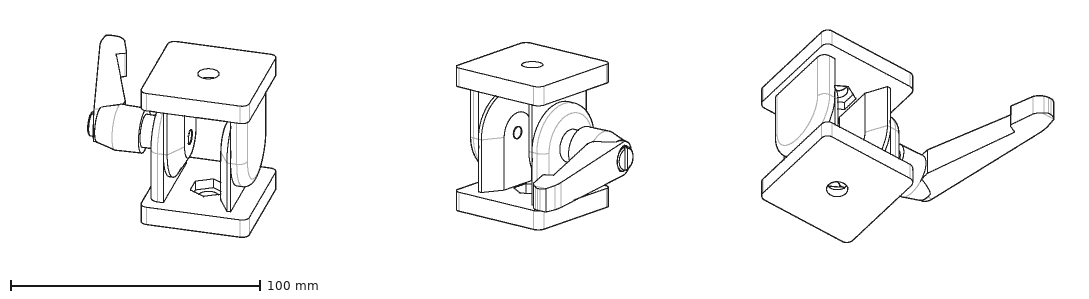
import cadquery as cq
import math


PLATE_SIDE = 45.0
PLATE_THICKNESS = 8.0
PLATE_CORNER_RADIUS = 3.0
OVERALL_HEIGHT = 60.0
PLATE_HOLE_DIAMETER = 8.5
HEX_ACROSS_FLATS = 13.0
HEX_POCKET_DEPTH = 4.0

EAR_RADIUS = 17.0
EAR_JOINT = 14.0
OUTER_EAR_FACE = 20.0
OUTER_EAR_ROUNDING = 3.5
INNER_EAR_FACE = 7.5
INNER_EAR_RIM = 1.6
INNER_EAR_BEVEL = 8.4

PIVOT_DIAMETER = 5.0
STUD_DIAMETER = 6.0
END_RECESS = 0.35

HUB_INNER_END = -26.6
HUB_SHOULDER = -37.5
HUB_CONE_END = -45.4
HUB_INNER_RADIUS = 9.1
HUB_SHOULDER_RADIUS = 9.4
HUB_CONE_RADIUS = 7.2

ARM_ROOT_RADIUS = 7.0
ARM_OUTER_X = -47.7
ARM_OUTER_SLOPE = 0.236
ARM_BEND_Y = 54.3
ARM_TIP_Y = 65.0
ARM_TIP_X = -61.1
ARM_TIP_HALF_HEIGHT = 4.9
ARM_TIP_BEVEL_LENGTH = 1.05
ARM_TIP_BEVEL_HEIGHT = 0.35
ARM_NOSE_ROUNDING = 0.9

ARM_BEND_MIDDLE = (-60.9, 56.6)
ARM_BEND_END = (ARM_TIP_X, 58.9)
ARM_TIP_CORNER = (-60.6, 63.9)
ARM_TIP_TOP = (-58.4, ARM_TIP_Y)
ARM_TIP_SHOULDER = (-55.4, 64.3)
ARM_SHOULDER_MIDDLE = (-53.5, 63.1)
ARM_SHOULDER_END = (-52.05, 61.3)
ARM_NOSE = (-48.3, 50.9)
ARM_NOTCH = (-52.1, 49.0)
ARM_ROOT = (HUB_SHOULDER, 10.3)

HEAD_FACE = -49.1
HEAD_DIAMETER = 10.0
HEAD_RECESS_DIAMETER = 10.6
HEAD_CHAMFER = 0.6
SLOT_WIDTH = 1.4
SLOT_DEPTH = 1.3
SHANK_DIAMETER = 7.0
COLLAR_DIAMETER = 13.5

PLATE_INNER_FACE = OVERALL_HEIGHT / 2 - PLATE_THICKNESS
STUD_END = -INNER_EAR_FACE - END_RECESS


def x_cylinder(diameter, x_start, x_end):
    """Cylinder on the pivot axis from x_start to x_end."""
    return cq.Workplane("YZ").workplane(offset=x_start).circle(diameter / 2).extrude(x_end - x_start)


def ear(x_joint, length):
    """Round-topped ear standing on the lower plate, extruded from its joint face."""
    return (
        cq.Workplane("YZ")
        .workplane(offset=x_joint)
        .moveTo(-EAR_RADIUS, -PLATE_INNER_FACE)
        .lineTo(-EAR_RADIUS, 0)
        .threePointArc((0, EAR_RADIUS), (EAR_RADIUS, 0))
        .lineTo(EAR_RADIUS, -PLATE_INNER_FACE)
        .close()
        .extrude(length)
    )


def round_top_edges(face):
    """The side and top edges of an ear face, without the edge that stands on the plate."""
    return face.edges("not(<Z)")


def plate():
    """Lower square plate with a centre hole and a hexagonal pocket in its inner face."""
    corner_diameter = HEX_ACROSS_FLATS / math.cos(math.pi / 6)
    body = (
        cq.Workplane("XY")
        .workplane(offset=-OVERALL_HEIGHT / 2)
        .rect(PLATE_SIDE, PLATE_SIDE)
        .extrude(PLATE_THICKNESS)
        .edges("|Z")
        .fillet(PLATE_CORNER_RADIUS)
        .faces(">Z")
        .workplane()
        .hole(PLATE_HOLE_DIAMETER)
    )
    pocket = (
        cq.Workplane("XY")
        .workplane(offset=-PLATE_INNER_FACE)
        .transformed(rotate=(0, 0, 30))
        .polygon(6, corner_diameter)
        .extrude(-HEX_POCKET_DEPTH)
    )
    return body.cut(pocket)


def blank_bracket():
    """Bracket with its plate below, outer ear at -X and inner ear at +X, without joint holes."""
    outer_ear = round_top_edges(ear(-EAR_JOINT, EAR_JOINT - OUTER_EAR_FACE).faces("<X"))
    outer_ear = outer_ear.fillet(OUTER_EAR_ROUNDING)
    inner_ear = round_top_edges(ear(EAR_JOINT, INNER_EAR_FACE - EAR_JOINT).faces("<X"))
    inner_ear = inner_ear.chamfer(EAR_JOINT - INNER_EAR_RIM - INNER_EAR_FACE, INNER_EAR_BEVEL)
    return plate().union(outer_ear).union(inner_ear)


def lower_bracket():
    """The bolt passes the outer ear, and the pivot turns in the inner ear."""
    bolt_hole = x_cylinder(STUD_DIAMETER, -OUTER_EAR_FACE, -EAR_JOINT)
    pivot_hole = x_cylinder(PIVOT_DIAMETER, INNER_EAR_FACE, EAR_JOINT)
    return blank_bracket().cut(bolt_hole).cut(pivot_hole)


def upper_bracket():
    """The same bracket turned over, with a pivot on its outer ear and the bolt in its inner ear."""
    turned = blank_bracket().rotate((0, 0, 0), (0, 1, 0), 180)
    pivot = x_cylinder(PIVOT_DIAMETER, INNER_EAR_FACE + END_RECESS, EAR_JOINT)
    bolt_hole = x_cylinder(STUD_DIAMETER, -EAR_JOINT, -INNER_EAR_FACE)
    return turned.union(pivot).cut(bolt_hole)


def arm_outer_x(y):
    """X of the slanted outer face of the arm at a given Y."""
    return ARM_OUTER_X - ARM_OUTER_SLOPE * y


def arm():
    """Arm with the outline of its long side, trimmed to a height that tapers towards the tip."""
    root_y = -ARM_ROOT_RADIUS
    outline = (
        cq.Workplane("XY")
        .workplane(offset=-ARM_ROOT_RADIUS)
        .moveTo(HUB_SHOULDER, root_y)
        .lineTo(arm_outer_x(root_y), root_y)
        .lineTo(arm_outer_x(ARM_BEND_Y), ARM_BEND_Y)
        .threePointArc(ARM_BEND_MIDDLE, ARM_BEND_END)
        .lineTo(*ARM_TIP_CORNER)
        .threePointArc(ARM_TIP_TOP, ARM_TIP_SHOULDER)
        .threePointArc(ARM_SHOULDER_MIDDLE, ARM_SHOULDER_END)
        .lineTo(*ARM_NOSE)
        .lineTo(*ARM_NOTCH)
        .lineTo(*ARM_ROOT)
        .close()
        .extrude(2 * ARM_ROOT_RADIUS)
        .edges(cq.selectors.NearestToPointSelector((*ARM_NOSE, 0)))
        .fillet(ARM_NOSE_ROUNDING)
    )
    bevel_y = ARM_TIP_Y - ARM_TIP_BEVEL_LENGTH
    tip_half_height = ARM_TIP_HALF_HEIGHT - ARM_TIP_BEVEL_HEIGHT
    height_profile = (
        cq.Workplane("YZ")
        .workplane(offset=ARM_TIP_X)
        .moveTo(0, ARM_ROOT_RADIUS)
        .lineTo(bevel_y, ARM_TIP_HALF_HEIGHT)
        .lineTo(ARM_TIP_Y, tip_half_height)
        .lineTo(ARM_TIP_Y, -tip_half_height)
        .lineTo(bevel_y, -ARM_TIP_HALF_HEIGHT)
        .lineTo(0, -ARM_ROOT_RADIUS)
        .threePointArc((-ARM_ROOT_RADIUS, 0), (0, ARM_ROOT_RADIUS))
        .close()
        .extrude(HUB_SHOULDER - ARM_TIP_X)
    )
    return outline.intersect(height_profile)


def hub():
    """Hub turned about the pivot axis: a slightly drafted barrel and a cone."""
    return (
        cq.Workplane("XY")
        .moveTo(HUB_INNER_END, 0)
        .lineTo(HUB_INNER_END, HUB_INNER_RADIUS)
        .lineTo(HUB_SHOULDER, HUB_SHOULDER_RADIUS)
        .lineTo(HUB_CONE_END, HUB_CONE_RADIUS)
        .lineTo(HUB_CONE_END, 0)
        .close()
        .revolve(360, (0, 0, 0), (1, 0, 0))
    )


def clamp_handle():
    """Hub and arm, with a bore for the bolt shank and a recess around the bolt head."""
    head_recess = x_cylinder(HEAD_RECESS_DIAMETER, ARM_TIP_X, HUB_CONE_END)
    shank_bore = x_cylinder(SHANK_DIAMETER, HUB_CONE_END, HUB_INNER_END)
    return hub().union(arm()).cut(head_recess).cut(shank_bore)


def clamp_bolt():
    """Slotted head, shank through the handle, collar against the ear and stud into both ears."""
    head = x_cylinder(HEAD_DIAMETER, HEAD_FACE, HUB_CONE_END).faces("<X").chamfer(HEAD_CHAMFER)
    slot = cq.Workplane("XY").box(2 * SLOT_DEPTH, SLOT_WIDTH, HEAD_DIAMETER)
    slot = slot.translate((HEAD_FACE, 0, 0))
    shank = x_cylinder(SHANK_DIAMETER, HUB_CONE_END, HUB_INNER_END)
    collar = x_cylinder(COLLAR_DIAMETER, HUB_INNER_END, -OUTER_EAR_FACE)
    stud = x_cylinder(STUD_DIAMETER, -OUTER_EAR_FACE, STUD_END)
    return head.cut(slot).union(shank).union(collar).union(stud)


lower = lower_bracket()
upper = upper_bracket()
handle = clamp_handle()
bolt = clamp_bolt()

result = cq.Compound.makeCompound([lower.val(), upper.val(), handle.val(), bolt.val()])